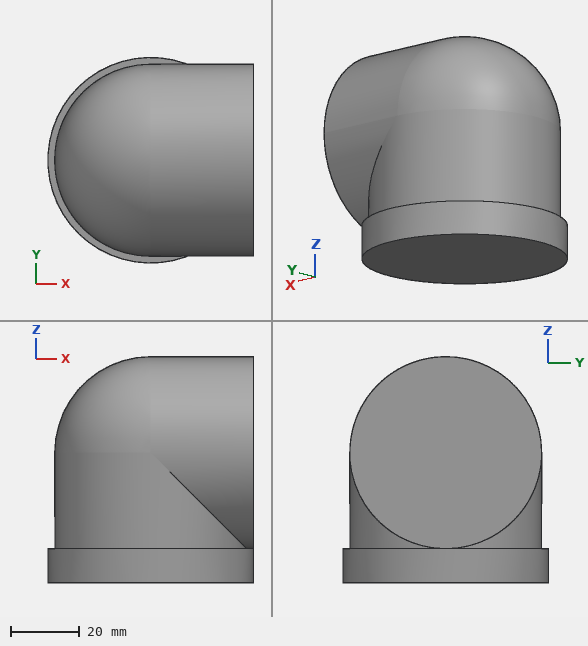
import cadquery as cq

body_diameter = 56.0
flange_diameter = 60.0
flange_height = 10.0

body_radius = body_diameter / 2
flange_radius = flange_diameter / 2
axis_height = flange_height + body_radius
branch_reach = flange_radius


def make_flange():
    """Round base flange, standing on Z = 0."""
    return cq.Workplane("XY").circle(flange_radius).extrude(flange_height)


def make_riser():
    """Vertical leg, from the base up to the branch axis."""
    return cq.Workplane("XY").circle(body_radius).extrude(axis_height)


def make_branch():
    """Horizontal leg, from the elbow centre out along +X."""
    return (
        cq.Workplane("YZ")
        .center(0, axis_height)
        .circle(body_radius)
        .extrude(branch_reach)
    )


def make_elbow():
    """Ball that rounds the outer corner where the two legs meet."""
    return cq.Workplane("XY", origin=(0, 0, axis_height)).sphere(body_radius)


result = make_flange().union(make_riser()).union(make_branch()).union(make_elbow())